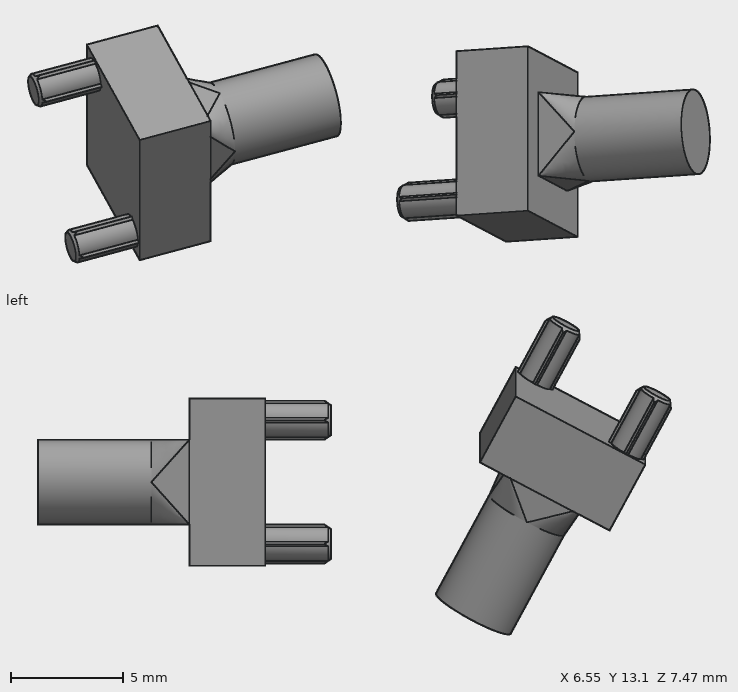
import cadquery as cq
import math

LENGTH = 13.08

BLOCK_X = 6.55
BLOCK_Y = 3.39
BLOCK_Z = 7.47

PIN_LENGTH = 2.93
PIN_RADIUS = 0.76
PIN_END_RADIUS = 0.67
PIN_OFFSET_X = 2.3
PIN_OFFSET_Z = 2.76
RIB_TIP_RADIUS = 0.88
RIB_HALF_WIDTH = 0.1
RIB_COUNT = 4
TAPER_LENGTH = 0.31

STEM_RADIUS = 1.9
TRANSITION_LENGTH = 1.7
transition_start = BLOCK_Y
transition_end = transition_start + TRANSITION_LENGTH
stem_end = LENGTH - PIN_LENGTH


def make_block():
    return cq.Workplane("XY").box(BLOCK_X, BLOCK_Y, BLOCK_Z, centered=(True, False, True))


def make_pin():
    """Ribbed pin along -Y from the origin, its end trimmed to a cone."""
    pin = cq.Workplane("XZ").circle(PIN_RADIUS).extrude(PIN_LENGTH)
    rib = (
        cq.Workplane("XZ")
        .polyline([(0, -RIB_HALF_WIDTH), (PIN_RADIUS, -RIB_HALF_WIDTH), (RIB_TIP_RADIUS, 0),
                   (PIN_RADIUS, RIB_HALF_WIDTH), (0, RIB_HALF_WIDTH)])
        .close()
        .extrude(PIN_LENGTH)
    )
    for i in range(RIB_COUNT):
        pin = pin.union(rib.rotate((0, 0, 0), (0, 1, 0), i * 360 / RIB_COUNT))
    envelope = (
        cq.Workplane("XY")
        .polyline([(0, 0), (RIB_TIP_RADIUS, 0), (RIB_TIP_RADIUS, TAPER_LENGTH - PIN_LENGTH),
                   (PIN_END_RADIUS, -PIN_LENGTH), (0, -PIN_LENGTH)])
        .close()
        .revolve(360, (0, 0, 0), (0, 1, 0))
    )
    return pin.intersect(envelope)


def make_transition():
    """Square-to-round solid: four flat triangles joined by four conical corners."""
    signs = [(1, 1), (-1, 1), (-1, -1), (1, -1)]
    axes = [(1, 0), (0, 1), (-1, 0), (0, -1)]
    corners = [cq.Vector(x * STEM_RADIUS, transition_start, z * STEM_RADIUS) for x, z in signs]
    tangents = [cq.Vector(x * STEM_RADIUS, transition_end, z * STEM_RADIUS) for x, z in axes]
    arc_reach = STEM_RADIUS * math.sqrt(0.5)
    arc_middles = [cq.Vector(x * arc_reach, transition_end, z * arc_reach) for x, z in signs]

    arcs = []
    faces = [cq.Face.makeFromWires(cq.Wire.makePolygon(corners, close=True))]
    for i, corner in enumerate(corners):
        triangle = cq.Wire.makePolygon([corners[i - 1], corner, tangents[i]], close=True)
        faces.append(cq.Face.makeFromWires(triangle))

        arc = cq.Edge.makeThreePointArc(tangents[i], arc_middles[i], tangents[(i + 1) % len(tangents)])
        arcs.append(arc)
        apex = cq.Vertex.makeVertex(*corner.toTuple())
        cone = cq.occ_impl.shapes.loft(cq.Wire.assembleEdges([arc]), apex, ruled=True)
        faces.extend(cone.Faces())
    faces.append(cq.Face.makeFromWires(cq.Wire.assembleEdges(arcs)))

    shell = cq.occ_impl.shapes.shell(*faces)
    return cq.Workplane(cq.occ_impl.shapes.solid(shell))


def make_cylinder():
    cylinder = cq.Workplane("XZ").circle(STEM_RADIUS).extrude(transition_end - stem_end)
    return cylinder.translate((0, transition_end, 0))


result = make_block().union(make_transition()).union(make_cylinder())
pin = make_pin()
for side in (-1, 1):
    result = result.union(pin.translate((side * PIN_OFFSET_X, 0, -side * PIN_OFFSET_Z)))